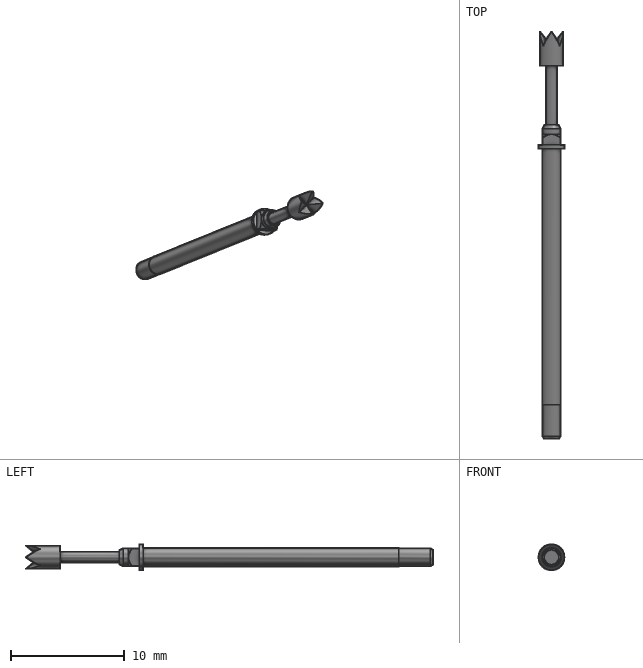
import cadquery as cq
import math

TOTAL_LENGTH = 35.8

BARREL_DIAMETER = 1.65
TAIL_LENGTH = 3.0
TAIL_DIAMETER = 1.6
TAIL_CHAMFER_LENGTH = 0.25
TAIL_TIP_DIAMETER = 1.3

FLANGE_DIAMETER = 2.3
FLANGE_THICKNESS = 0.35
SQUARE_SIDE = 1.6
SQUARE_CORNER_DIAMETER = 2.22
SQUARE_LENGTH = 0.93
SQUARE_LEAD_IN = 0.3

MOUTH_LENGTH = 0.45
MOUTH_DIAMETER = 1.6
MOUTH_TIP_DIAMETER = 1.25
MOUTH_TAPER_LENGTH = 0.35

PLUNGER_DIAMETER = 1.0
PLUNGER_LENGTH = 5.2
CROWN_DIAMETER = 2.05
CROWN_LENGTH = 3.0
GROOVE_ANGLE = 60.0

CROWN_BASE_Y = TOTAL_LENGTH - CROWN_LENGTH
MOUTH_TIP_Y = CROWN_BASE_Y - PLUNGER_LENGTH
MOUTH_TAPER_Y = MOUTH_TIP_Y - MOUTH_TAPER_LENGTH
SQUARE_TOP_Y = MOUTH_TAPER_Y - MOUTH_LENGTH
FLANGE_TOP_Y = SQUARE_TOP_Y - SQUARE_LENGTH
FLANGE_BOTTOM_Y = FLANGE_TOP_Y - FLANGE_THICKNESS


def revolve_about_y(points):
    """Turn a closed (radius, y) outline about the Y axis."""
    return cq.Workplane("XY").polyline(points).close().revolve(360, (0, 0, 0), (0, 1, 0))


def turned_body():
    """Every round section of the pin; only a plunger-size core runs through the square."""
    barrel_r = BARREL_DIAMETER / 2
    tail_r = TAIL_DIAMETER / 2
    flange_r = FLANGE_DIAMETER / 2
    mouth_r = MOUTH_DIAMETER / 2
    plunger_r = PLUNGER_DIAMETER / 2
    crown_r = CROWN_DIAMETER / 2
    return revolve_about_y([
        (0, 0),
        (TAIL_TIP_DIAMETER / 2, 0),
        (tail_r, TAIL_CHAMFER_LENGTH),
        (tail_r, TAIL_LENGTH),
        (barrel_r, TAIL_LENGTH),
        (barrel_r, FLANGE_BOTTOM_Y),
        (flange_r, FLANGE_BOTTOM_Y),
        (flange_r, FLANGE_TOP_Y),
        (plunger_r, FLANGE_TOP_Y),
        (plunger_r, SQUARE_TOP_Y),
        (mouth_r, SQUARE_TOP_Y),
        (mouth_r, MOUTH_TAPER_Y),
        (MOUTH_TIP_DIAMETER / 2, MOUTH_TIP_Y),
        (plunger_r, MOUTH_TIP_Y),
        (plunger_r, CROWN_BASE_Y),
        (crown_r, CROWN_BASE_Y),
        (crown_r, TOTAL_LENGTH),
        (0, TOTAL_LENGTH),
    ])


def square_section():
    """Square press section with turned corners and a cone at the front."""
    corner_r = SQUARE_CORNER_DIAMETER / 2
    square = cq.Workplane("XY").box(SQUARE_SIDE, SQUARE_LENGTH, SQUARE_SIDE)
    square = square.translate((0, FLANGE_TOP_Y + SQUARE_LENGTH / 2, 0))
    cone = revolve_about_y([
        (0, FLANGE_TOP_Y),
        (corner_r, FLANGE_TOP_Y),
        (corner_r, SQUARE_TOP_Y - SQUARE_LEAD_IN),
        (SQUARE_SIDE / 2, SQUARE_TOP_Y),
        (0, SQUARE_TOP_Y),
    ])
    return square.intersect(cone)


def crown_grooves():
    """Two crossed V grooves on the diagonals, leaving sharp points on the X and Z axes."""
    half_width = CROWN_DIAMETER / 2 * math.sin(math.radians(45))
    slope = 1 / math.tan(math.radians(GROOVE_ANGLE / 2))
    valley_y = TOTAL_LENGTH - half_width * slope
    cutter_half_width = CROWN_DIAMETER
    cutter_top_y = valley_y + cutter_half_width * slope
    groove = (
        cq.Workplane("XY")
        .moveTo(0, valley_y)
        .lineTo(cutter_half_width, cutter_top_y)
        .lineTo(-cutter_half_width, cutter_top_y)
        .close()
        .extrude(CROWN_DIAMETER, both=True)
    )
    first = groove.rotate((0, 0, 0), (0, 1, 0), 45)
    second = groove.rotate((0, 0, 0), (0, 1, 0), -45)
    return first.union(second)


result = turned_body().union(square_section()).cut(crown_grooves())